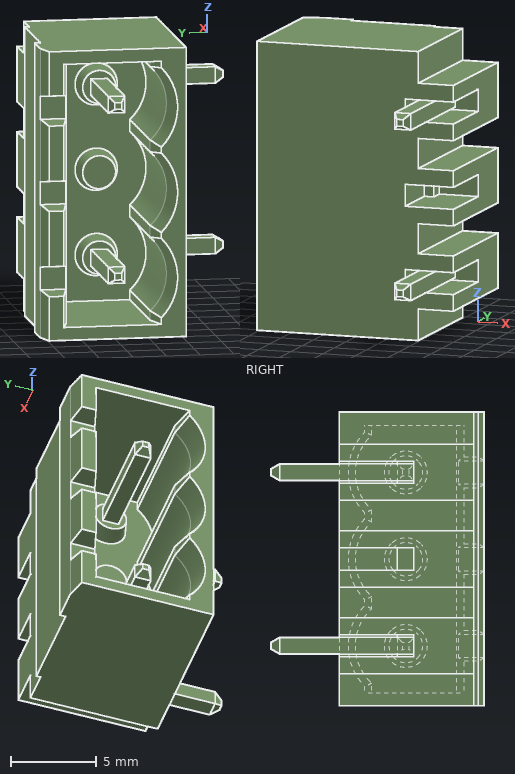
import cadquery as cq

body_length = 10.02
body_height = 17.24
wall = 0.78
ridge_top = 8.5
middle_top = 8.15
rear_top = 7.9
ridge_end = 2.98
middle_end = 8.2
bevel_length = 1.17
bevel_rise = 0.33

pole_count = 3
pole_pitch = 5.09
pole_y = 3.9
pole_heights = [body_height / 2 + (i - (pole_count - 1) / 2) * pole_pitch for i in range(pole_count)]
pinned_heights = [pole_heights[0], pole_heights[-1]]

tab_end = 12.2
tab_width = 3.3
slot_width = 1.31
slot_start = 9.2
slot_step = 9.8

cavity_depth = 8.2
lead_in_depth = 1.48
lead_in_offset = 0.41
mouth_bottom = 1.48
mouth_top = 7.3
mouth_radius = 3.38
scallop_radius = mouth_radius - lead_in_offset

collar_base_radius = 1.25
collar_tip_radius = 0.98
collar_height = 1.0

notch_depth = 1.12
notch_mouth_width = 1.8
notch_floor_width = 1.36

pin_size = 0.98
pin_tip_size = 0.4
pin_taper = 0.52
pin_front = 0.9
leg_x = 10.3
leg_end = -4.0


def block(x0, x1, y0, y1, z0, z1):
    return cq.Workplane("XY").box(x1 - x0, y1 - y0, z1 - z0, centered=False).translate((x0, y0, z0))


def make_housing():
    """Stepped block with one full-depth tab per pole at the rear."""
    profile = [
        (0, 0),
        (body_length, 0),
        (body_length, rear_top),
        (middle_end, rear_top),
        (middle_end, middle_top),
        (ridge_end, middle_top),
        (ridge_end, ridge_top),
        (bevel_length, ridge_top),
        (0, ridge_top - bevel_rise),
    ]
    housing = cq.Workplane("XY").polyline(profile).close().extrude(body_height)
    for z in pole_heights:
        tab = block(middle_end, tab_end, 0, rear_top, z - tab_width / 2, z + tab_width / 2)
        housing = housing.union(tab)
    return housing


def revolve_about_pole(outline, z):
    """Turn an XY outline about the pole axis at height z."""
    flat = cq.Workplane("XY", origin=(0, 0, z)).polyline(outline).close()
    return flat.revolve(360, (0, pole_y), (1, pole_y))


def make_cavity():
    """Pocket with scalloped lower side and a tapered lead-in at the mouth."""
    floor_bottom = mouth_bottom + lead_in_offset
    floor_top = mouth_top - lead_in_offset
    section = [
        (0, mouth_bottom),
        (lead_in_depth, floor_bottom),
        (cavity_depth, floor_bottom),
        (cavity_depth, floor_top),
        (lead_in_depth, floor_top),
        (0, mouth_top),
    ]
    cavity = cq.Workplane("XY").polyline(section).close().extrude(body_height)
    scallop_outline = [
        (0, pole_y),
        (0, pole_y + mouth_radius),
        (lead_in_depth, pole_y + scallop_radius),
        (cavity_depth, pole_y + scallop_radius),
        (cavity_depth, pole_y),
    ]
    for z in pole_heights:
        cavity = cavity.union(revolve_about_pole(scallop_outline, z))
    inside = block(0, cavity_depth, 0, ridge_top, wall, body_height - wall)
    return cavity.intersect(inside)


def make_collar(z):
    outline = [
        (cavity_depth, pole_y),
        (cavity_depth, pole_y + collar_base_radius),
        (cavity_depth - collar_height, pole_y + collar_tip_radius),
        (cavity_depth - collar_height, pole_y),
    ]
    return revolve_about_pole(outline, z)


def make_notch(z):
    """Notch through the upper wall, narrowing towards its floor."""
    section = [
        (0, z - notch_mouth_width / 2),
        (notch_depth, z - notch_floor_width / 2),
        (notch_depth, z + notch_floor_width / 2),
        (0, z + notch_mouth_width / 2),
    ]
    notch_plane = cq.Workplane("XZ", origin=(0, ridge_top, 0))
    return notch_plane.polyline(section).close().extrude(ridge_top - pole_y)


def make_slot(z):
    """Pin slot, as deep as the underside of the pin, then as deep as its top."""
    z0 = z - slot_width / 2
    z1 = z + slot_width / 2
    shallow = block(slot_start, tab_end, 0, pole_y - pin_size / 2, z0, z1)
    deep = block(slot_step, tab_end, 0, pole_y + pin_size / 2, z0, z1)
    return shallow.union(deep)


def make_pin_arm(plane, length):
    """Square bar along the plane normal with a tapered far end."""
    bar = cq.Workplane(plane).rect(pin_size, pin_size).extrude(length - pin_taper)
    tip = bar.faces(cq.selectors.DirectionMinMaxSelector(plane.zDir, True)).workplane()
    return tip.rect(pin_size, pin_size).workplane(offset=pin_taper).rect(pin_tip_size, pin_tip_size).loft()


def make_pin(z):
    """Contact arm along -X and solder leg along -Y, meeting in a square corner."""
    elbow_x = leg_x + pin_size / 2
    elbow_y = pole_y + pin_size / 2
    arm = make_pin_arm(cq.Plane((elbow_x, pole_y, z), (0, 1, 0), (-1, 0, 0)), elbow_x - pin_front)
    leg = make_pin_arm(cq.Plane((leg_x, elbow_y, z), (1, 0, 0), (0, -1, 0)), elbow_y - leg_end)
    return arm.union(leg)


result = make_housing().cut(make_cavity())
for pole_z in pole_heights:
    result = result.cut(make_notch(pole_z)).cut(make_slot(pole_z))
    result = result.union(make_collar(pole_z))
for pole_z in pinned_heights:
    result = result.union(make_pin(pole_z))